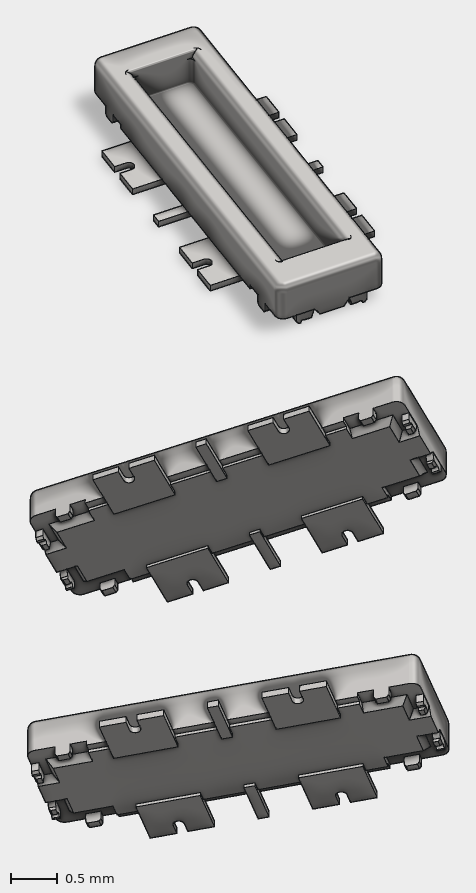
import cadquery as cq

BODY_LENGTH = 4.35
BODY_WIDTH = 1.27
TOTAL_HEIGHT = 0.58
UNDERSIDE = 0.04
BODY_ROUND = 0.1
HALF_LENGTH = BODY_LENGTH / 2
HALF_WIDTH = BODY_WIDTH / 2

CAVITY_END_WALL = 0.42
CAVITY_SIDE_WALL = 0.28
CAVITY_FLOOR = 0.155
CAVITY_CORNER = 0.06
CAVITY_FLOOR_ROUND = 0.02
SIDE_RIM_ROUND = 0.09
END_RIM_ROUND = 0.035
RIM_CORNER = 0.052
CAVITY_LENGTH = BODY_LENGTH - 2 * CAVITY_END_WALL
CAVITY_WIDTH = BODY_WIDTH - 2 * CAVITY_SIDE_WALL

SPAN_WIDTH = 1.97
LEAD_THICKNESS = 0.08
LEAD_INNER_DEPTH = 0.205
WIDE_LEAD_WIDTH = 0.715
WIDE_LEAD_OFFSET = 0.9
PIN_WIDTH = 0.12
SLOT_WIDTH = 0.12
SLOT_DEPTH = 0.2
LEAD_RECESS_DEPTH = 0.083

RELIEF_TOP = 0.13
RELIEF_DEPTH = 0.175
RELIEF_DRAFT = 0.065
RELIEF_LONG_SIDE = 0.675
RELIEF_SHORT_SIDE = 0.425

FOOT_THICKNESS = 0.083
SIDE_FOOT_START = 0.325
SIDE_FOOT_WIDTH = 0.17
SIDE_FOOT_BEVEL_WIDTH = 0.02
END_FOOT_START = 0.215
END_FOOT_FINISH = 0.395
END_FOOT_BEVEL_WIDTH = 0.025
FOOT_BEVEL_HEIGHT = 0.03
ARCH_RADIUS = 0.025
ARCH_CENTRE = 0.29
ARCH_SPRING = 0.01
INNER_PRONG_INSET = 0.025
END_FOOT_SETBACK = 0.005


def box(x_range, y_range, z_range):
    """Block between pairs of coordinates."""
    size = [high - low for low, high in (x_range, y_range, z_range)]
    corner = (x_range[0], y_range[0], z_range[0])
    return cq.Workplane("XY").box(*size, centered=False).translate(corner)


def mirrored(solid, plane):
    """A solid together with its mirror image through the origin plane."""
    return solid.union(solid.mirror(plane))


def four_corners(solid):
    return mirrored(mirrored(solid, "YZ"), "XZ")


def make_housing():
    block = box((-HALF_LENGTH, HALF_LENGTH), (-HALF_WIDTH, HALF_WIDTH), (UNDERSIDE, TOTAL_HEIGHT))
    return block.edges("|Z").fillet(BODY_ROUND).faces(">Z").edges().fillet(BODY_ROUND)


def make_cavity():
    well = (
        cq.Workplane("XY", origin=(0, 0, CAVITY_FLOOR))
        .rect(CAVITY_LENGTH, CAVITY_WIDTH)
        .extrude(TOTAL_HEIGHT - CAVITY_FLOOR)
        .edges("|Z").fillet(CAVITY_CORNER)
        .faces("<Z").edges().fillet(CAVITY_FLOOR_ROUND)
    )
    return well.union(make_rim())


def rim_prism(plane, half_opening, rim_round, length):
    """Prism as wide as the cavity that flares out along quarter arcs to the top face."""
    bottom = TOTAL_HEIGHT - SIDE_RIM_ROUND
    arc_start = TOTAL_HEIGHT - rim_round
    half_top = half_opening + rim_round
    outline = cq.Workplane(plane).moveTo(-half_opening, bottom).lineTo(half_opening, bottom)
    if arc_start > bottom:
        outline = outline.lineTo(half_opening, arc_start)
    outline = outline.radiusArc((half_top, TOTAL_HEIGHT), rim_round).lineTo(-half_top, TOTAL_HEIGHT)
    outline = outline.radiusArc((-half_opening, arc_start), rim_round)
    return outline.close().extrude(length / 2, both=True)


def make_rim():
    """Flared mouth of the cavity; side and end rims meet at rounded corners."""
    top_length = CAVITY_LENGTH + 2 * END_RIM_ROUND
    top_width = CAVITY_WIDTH + 2 * SIDE_RIM_ROUND
    sides = rim_prism("YZ", CAVITY_WIDTH / 2, SIDE_RIM_ROUND, top_length)
    ends = rim_prism("XZ", CAVITY_LENGTH / 2, END_RIM_ROUND, top_width)
    corner_limit = (
        cq.Workplane("XY", origin=(0, 0, TOTAL_HEIGHT - SIDE_RIM_ROUND))
        .rect(top_length, top_width)
        .extrude(SIDE_RIM_ROUND)
        .edges("|Z").fillet(RIM_CORNER)
    )
    return sides.intersect(ends).intersect(corner_limit)


def make_corner_relief():
    """L-shaped pocket under the -X, -Y corner."""
    height = RELIEF_TOP - UNDERSIDE
    long_arm = (
        cq.Workplane("YZ", origin=(-HALF_LENGTH, -HALF_WIDTH, UNDERSIDE))
        .polyline([(0, 0), (RELIEF_DEPTH + RELIEF_DRAFT, 0), (RELIEF_DEPTH, height), (0, height)])
        .close()
        .extrude(RELIEF_LONG_SIDE)
    )
    short_arm = (
        cq.Workplane("XY", origin=(-HALF_LENGTH, -HALF_WIDTH, UNDERSIDE))
        .rect(RELIEF_DEPTH + RELIEF_DRAFT, RELIEF_SHORT_SIDE + RELIEF_DRAFT, centered=False)
        .workplane(offset=height)
        .rect(RELIEF_DEPTH, RELIEF_SHORT_SIDE, centered=False)
        .loft(ruled=True)
    )
    return long_arm.union(short_arm)


def make_side_foot():
    """Foot flush with the -Y side, bevelled at both bottom corners."""
    left = SIDE_FOOT_START - HALF_LENGTH
    right = left + SIDE_FOOT_WIDTH
    return (
        cq.Workplane("XZ", origin=(0, FOOT_THICKNESS - HALF_WIDTH, 0))
        .moveTo(left, RELIEF_TOP)
        .lineTo(left, FOOT_BEVEL_HEIGHT)
        .lineTo(left + SIDE_FOOT_BEVEL_WIDTH, 0)
        .lineTo(right - SIDE_FOOT_BEVEL_WIDTH, 0)
        .lineTo(right, FOOT_BEVEL_HEIGHT)
        .lineTo(right, RELIEF_TOP)
        .close()
        .extrude(FOOT_THICKNESS)
    )


def make_end_foot():
    """Two-pronged foot set just inside the -X end; an arch separates the prongs."""
    outer_face = END_FOOT_SETBACK - HALF_LENGTH
    arch_near = ARCH_CENTRE - ARCH_RADIUS
    arch_far = ARCH_CENTRE + ARCH_RADIUS
    foot = (
        cq.Workplane("YZ", origin=(outer_face, -HALF_WIDTH, 0))
        .moveTo(END_FOOT_START, RELIEF_TOP)
        .lineTo(END_FOOT_START, FOOT_BEVEL_HEIGHT)
        .lineTo(END_FOOT_START + END_FOOT_BEVEL_WIDTH, 0)
        .lineTo(arch_near, 0)
        .lineTo(arch_near, ARCH_SPRING)
        .threePointArc((ARCH_CENTRE, ARCH_SPRING + ARCH_RADIUS), (arch_far, ARCH_SPRING))
        .lineTo(arch_far, 0)
        .lineTo(END_FOOT_FINISH, 0)
        .lineTo(END_FOOT_FINISH, UNDERSIDE)
        .lineTo(RELIEF_SHORT_SIDE, RELIEF_TOP)
        .close()
        .extrude(FOOT_THICKNESS)
    )
    prong_bevel = (
        cq.Workplane("XZ", origin=(outer_face, ARCH_CENTRE - HALF_WIDTH, 0))
        .polyline([(0, 0), (INNER_PRONG_INSET, 0), (0, FOOT_BEVEL_HEIGHT)])
        .close()
        .extrude(-(END_FOOT_FINISH - ARCH_CENTRE))
    )
    return foot.cut(prong_bevel)


def make_lead(centre, width):
    """Flat lead leaving the -Y side of the housing."""
    return box(
        (centre - width / 2, centre + width / 2),
        (-SPAN_WIDTH / 2, LEAD_INNER_DEPTH - HALF_WIDTH),
        (0, LEAD_THICKNESS),
    )


def make_wide_lead():
    """Wide lead with a round-ended slot open at its tip."""
    tip = -SPAN_WIDTH / 2
    slot = (
        cq.Workplane("XY", origin=(-WIDE_LEAD_OFFSET, tip, 0))
        .slot2D(2 * SLOT_DEPTH, SLOT_WIDTH, 90)
        .extrude(LEAD_THICKNESS)
    )
    return make_lead(-WIDE_LEAD_OFFSET, WIDE_LEAD_WIDTH).cut(slot)


recess_half_length = HALF_LENGTH - RELIEF_LONG_SIDE
lead_recess = box(
    (-recess_half_length, recess_half_length),
    (-HALF_WIDTH, LEAD_RECESS_DEPTH - HALF_WIDTH),
    (UNDERSIDE, LEAD_THICKNESS),
)

housing = make_housing().cut(make_cavity())
housing = housing.cut(four_corners(make_corner_relief())).cut(mirrored(lead_recess, "XZ"))

feet = four_corners(make_side_foot().union(make_end_foot()))
leads = four_corners(make_wide_lead()).union(mirrored(make_lead(0, PIN_WIDTH), "XZ"))

result = housing.union(feet).union(leads)